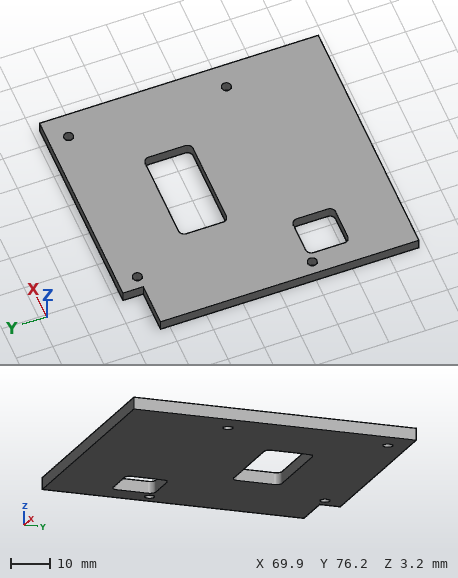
import cadquery as cq

plate_width = 69.9
plate_length = 76.2
plate_thickness = 3.2

notch_width = 12.0
notch_length = 5.6

hole_diameter = 2.5
hole_right_x = 63.25
hole_front_left_x = 3.6
hole_back_left_x = 15.5
hole_front_y = 27.7
hole_back_y = 70.9
hole_centers = [
    (hole_front_left_x, hole_front_y),
    (hole_right_x, hole_front_y),
    (hole_back_left_x, hole_back_y),
    (hole_right_x, hole_back_y),
]

window_corner_radius = 1.5
large_window_width = 26.05
large_window_length = 13.0
large_window_center = (36.65, 49.3)
small_window_side = 11.5
small_window_center = (12.0, 22.2)


def window_cutter(width, length, center):
    """Block with rounded vertical edges that cuts through the plate."""
    return (
        cq.Workplane("XY")
        .center(*center)
        .rect(width, length)
        .extrude(plate_thickness)
        .edges("|Z")
        .fillet(window_corner_radius)
    )


plate = (
    cq.Workplane("XY")
    .moveTo(0, 0)
    .lineTo(plate_width, 0)
    .lineTo(plate_width, plate_length)
    .lineTo(notch_width, plate_length)
    .lineTo(notch_width, plate_length - notch_length)
    .lineTo(0, plate_length - notch_length)
    .close()
    .extrude(plate_thickness)
)

screw_holes = (
    cq.Workplane("XY")
    .pushPoints(hole_centers)
    .circle(hole_diameter / 2)
    .extrude(plate_thickness)
)

result = (
    plate.cut(screw_holes)
    .cut(window_cutter(large_window_width, large_window_length, large_window_center))
    .cut(window_cutter(small_window_side, small_window_side, small_window_center))
)